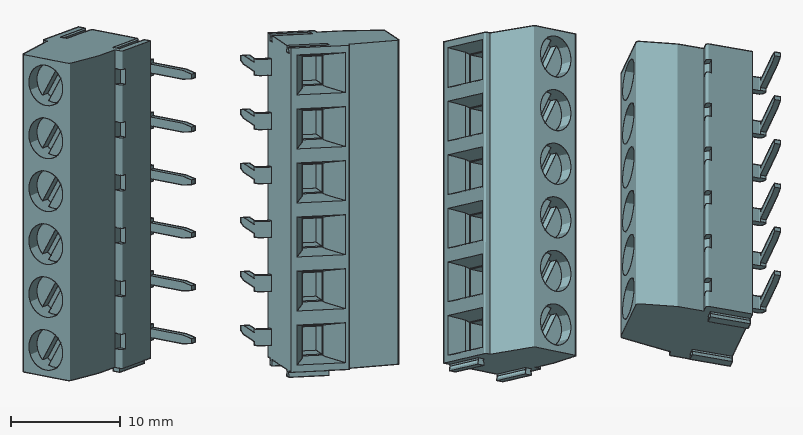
import cadquery as cq
import math


POLE_COUNT = 6
PITCH = 5.0
BODY_HEIGHT = POLE_COUNT * PITCH
POLE_CENTRES = [(i + 0.5) * PITCH for i in range(POLE_COUNT)]

BODY_WIDTH = 8.1
BODY_DEPTH = 10.6
LEFT_STEP_X = 0.55
LEFT_STEP_Y = -5.6
RIGHT_STEP_X = 7.3
RIGHT_STEP_Y = -4.4
RIGHT_TAPER_Y = -6.85
SCREW_FACE_LEFT_X = 1.38
SCREW_FACE_RIGHT_X = 6.68
STEP_FILLET = 0.25
SCREW_FACE_FILLET = 0.3

RAIL_CENTRES_X = (1.1, 7.02)
RAIL_LENGTH = 3.8
RAIL_HEIGHT = 0.6
RAIL_WIDTH = 0.75
RAIL_NECK_WIDTH = 0.6
RAIL_NECK_HEIGHT = 0.16
RAIL_HEAD_HEIGHT = 0.43

MOUTH = (-0.58, -5.15, 3.7)
FUNNEL_END = (-1.45, -3.7, 2.98)
COLLAR_END = (-1.45, -3.48, 2.8)
THROAT = (-1.56, -3.42, 2.6)
FUNNEL_DEPTH = 1.4
COLLAR_DEPTH = 0.35
RIM_DEPTH = 0.15
THROAT_LENGTH = 2.0

SCREW_DIAMETER = 3.8
SCREW_CENTRE_X = 4.03
SCREW_RECESS = 1.25
SLOT_WIDTH = 0.8
SLOT_DEPTH = 0.8
SLOT_ANGLE = 60.0

NOTCH_HEIGHT = 1.45
NOTCH_DEPTH = 0.5
NOTCH_FLOOR_X = 7.55

PIN_THICKNESS = 0.55
PIN_LEG_X = 6.75
PIN_LEG_WIDTH = 1.5
PIN_TAIL_WIDTH = 0.85
PIN_TIP_WIDTH = 0.45
PIN_TIP_LENGTH = 1.0
PIN_REACH_X = 12.05
PIN_REACH_Y = 1.5
PIN_INNER_RADIUS = 0.05
PIN_OUTER_RADIUS = PIN_INNER_RADIUS + PIN_THICKNESS
PIN_ROOT_DEPTH = 0.5
PIN_Z_OFFSET = -0.45


def make_housing():
    """Stepped, tapered housing extruded over the whole stack of poles."""
    profile = [
        (0, 0),
        (0, LEFT_STEP_Y),
        (LEFT_STEP_X, LEFT_STEP_Y),
        (SCREW_FACE_LEFT_X, -BODY_DEPTH),
        (SCREW_FACE_RIGHT_X, -BODY_DEPTH),
        (RIGHT_STEP_X, RIGHT_TAPER_Y),
        (RIGHT_STEP_X, RIGHT_STEP_Y),
        (BODY_WIDTH, RIGHT_STEP_Y),
        (BODY_WIDTH, 0),
    ]
    housing = cq.Workplane("XY").polyline(profile).close().extrude(BODY_HEIGHT)

    def edge_at(x, y):
        return cq.selectors.NearestToPointSelector((x, y, BODY_HEIGHT / 2))

    for corner in ((0, LEFT_STEP_Y), (BODY_WIDTH, RIGHT_STEP_Y)):
        housing = housing.edges("|Z").edges(edge_at(*corner)).fillet(STEP_FILLET)
    for corner_x in (SCREW_FACE_LEFT_X, SCREW_FACE_RIGHT_X):
        housing = housing.edges("|Z").edges(edge_at(corner_x, -BODY_DEPTH)).fillet(SCREW_FACE_FILLET)
    return housing


def make_rail(centre_x, root_z):
    """Waisted rail hanging down from root_z, running back from the +Y face."""
    half_width = RAIL_WIDTH / 2
    half_neck = RAIL_NECK_WIDTH / 2
    right_side = [
        (half_width, 0),
        (half_neck, RAIL_NECK_HEIGHT),
        (half_width, RAIL_HEAD_HEIGHT),
        (half_width, RAIL_HEIGHT),
    ]
    right_points = [(centre_x + dx, root_z - drop) for dx, drop in right_side]
    left_points = [(centre_x - dx, root_z - drop) for dx, drop in reversed(right_side)]
    return cq.Workplane("XZ").polyline(right_points + left_points).close().extrude(RAIL_LENGTH)


def make_taper(x, length, start, end, centre_z):
    """Rectangular passage along +X changing from the start opening to the end opening."""
    start_top, start_bottom, start_height = start
    end_top, end_bottom, end_height = end
    start_y = (start_top + start_bottom) / 2
    end_y = (end_top + end_bottom) / 2
    return (
        cq.Workplane("YZ", origin=(x, start_y, centre_z))
        .rect(start_top - start_bottom, start_height)
        .workplane(offset=length)
        .center(end_y - start_y, 0)
        .rect(end_top - end_bottom, end_height)
        .loft(ruled=True)
    )


def make_wire_entry(centre_z):
    """Funnel, collar, rim and throat of one wire entry."""
    rim_x = FUNNEL_DEPTH + COLLAR_DEPTH
    throat_x = rim_x + RIM_DEPTH
    funnel = make_taper(0, FUNNEL_DEPTH, MOUTH, FUNNEL_END, centre_z)
    collar = make_taper(FUNNEL_DEPTH, COLLAR_DEPTH, FUNNEL_END, COLLAR_END, centre_z)
    rim = make_taper(rim_x, RIM_DEPTH, COLLAR_END, COLLAR_END, centre_z)
    throat = make_taper(throat_x, THROAT_LENGTH, THROAT, THROAT, centre_z)
    return funnel.union(collar).union(rim).union(throat)


def make_screw_recess(centre_z):
    """Round recess down to the screw head, with the driver slot cut into the head."""
    recess = (
        cq.Workplane("XZ", origin=(SCREW_CENTRE_X, -BODY_DEPTH + SCREW_RECESS, centre_z))
        .circle(SCREW_DIAMETER / 2)
        .extrude(SCREW_RECESS)
    )
    slot_floor = (SCREW_CENTRE_X, -BODY_DEPTH + SCREW_RECESS + SLOT_DEPTH, centre_z)
    slot_bar = (
        cq.Workplane("XZ", origin=slot_floor)
        .transformed(rotate=(0, 0, SLOT_ANGLE))
        .rect(SCREW_DIAMETER, SLOT_WIDTH)
        .extrude(SLOT_DEPTH)
    )
    head = cq.Workplane("XZ", origin=slot_floor).circle(SCREW_DIAMETER / 2).extrude(SLOT_DEPTH)
    return recess.union(slot_bar.intersect(head))


def make_notch(centre_z):
    """Notch in the right-hand step, open to +X, with a slanted inner wall."""
    profile = [
        (RIGHT_STEP_X, RIGHT_STEP_Y),
        (NOTCH_FLOOR_X, RIGHT_STEP_Y + NOTCH_DEPTH),
        (BODY_WIDTH, RIGHT_STEP_Y + NOTCH_DEPTH),
        (BODY_WIDTH, RIGHT_STEP_Y),
    ]
    bottom_z = centre_z - NOTCH_HEIGHT / 2
    return cq.Workplane("XY", origin=(0, 0, bottom_z)).polyline(profile).close().extrude(NOTCH_HEIGHT)


def make_pin(pole_z):
    """Flat pin with a wide leg and bend, and a narrower tail with a tapered tip."""
    centre_z = pole_z + PIN_Z_OFFSET
    bend_x = PIN_LEG_X + PIN_OUTER_RADIUS
    bend_y = PIN_REACH_Y - PIN_OUTER_RADIUS
    tail_y = PIN_REACH_Y - PIN_THICKNESS
    diagonal = math.sqrt(0.5)
    outer_mid = (bend_x - PIN_OUTER_RADIUS * diagonal, bend_y + PIN_OUTER_RADIUS * diagonal)
    inner_mid = (bend_x - PIN_INNER_RADIUS * diagonal, bend_y + PIN_INNER_RADIUS * diagonal)
    leg = (
        cq.Workplane("XY", origin=(0, 0, centre_z - PIN_LEG_WIDTH / 2))
        .moveTo(PIN_LEG_X, -PIN_ROOT_DEPTH)
        .lineTo(PIN_LEG_X, bend_y)
        .threePointArc(outer_mid, (bend_x, PIN_REACH_Y))
        .lineTo(bend_x, tail_y)
        .threePointArc(inner_mid, (PIN_LEG_X + PIN_THICKNESS, bend_y))
        .lineTo(PIN_LEG_X + PIN_THICKNESS, -PIN_ROOT_DEPTH)
        .close()
        .extrude(PIN_LEG_WIDTH)
    )
    tip_x = PIN_REACH_X - PIN_TIP_LENGTH
    tail_outline = [
        (bend_x, -PIN_TAIL_WIDTH / 2),
        (tip_x, -PIN_TAIL_WIDTH / 2),
        (PIN_REACH_X, -PIN_TIP_WIDTH / 2),
        (PIN_REACH_X, PIN_TIP_WIDTH / 2),
        (tip_x, PIN_TAIL_WIDTH / 2),
        (bend_x, PIN_TAIL_WIDTH / 2),
    ]
    tail = (
        cq.Workplane("XZ", origin=(0, PIN_REACH_Y, centre_z))
        .polyline(tail_outline)
        .close()
        .extrude(PIN_THICKNESS)
    )
    return leg.union(tail)


result = make_housing()

for rail_x in RAIL_CENTRES_X:
    result = result.cut(make_rail(rail_x, BODY_HEIGHT))
    result = result.union(make_rail(rail_x, 0))

for pole_z in POLE_CENTRES:
    result = result.cut(make_wire_entry(pole_z))
    result = result.cut(make_screw_recess(pole_z))
    result = result.cut(make_notch(pole_z))
    result = result.union(make_pin(pole_z))